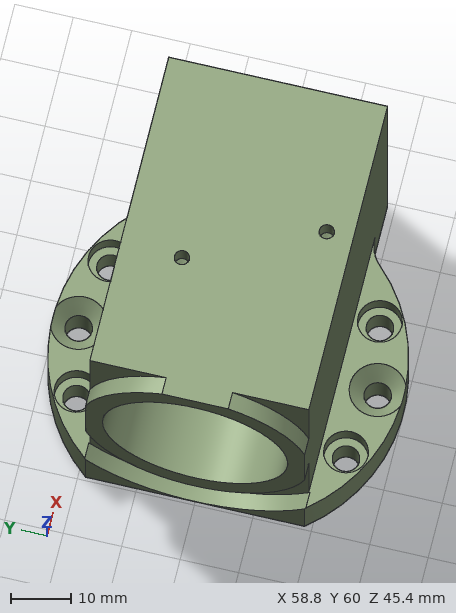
import cadquery as cq
import math

block_length = 58.8
block_width = 37.45
block_height = 45.4
half_width = block_width / 2
axis_height = block_height - half_width

bore_radius = 15.85
lip_bore_radius = 13.5
lip_thickness = 6.0

groove_inner_radius = 19.55
groove_outer_radius = 26.5
groove_depth = 3.0

flange_radius = 30.0
flange_thickness = 8.1
flange_fillet = 6.6
flange_x = math.sqrt(flange_radius**2 - half_width**2)

screw_radius = 2.3
counterbore_radius = 3.7
counterbore_depth = 3.0
counterbore_spacing_x = 24.0
counterbore_y = 23.05
countersink_radius = 4.75
countersink_angle = 90.0
countersink_y = 25.55

drill_radius = 1.25
drill_depth = 3.6
drill_tip_angle = 118.0
drill_places = [(24.5, 8.15), (34.6, -14.15)]


def make_block():
    return cq.Workplane("XY").box(
        block_length, block_width, block_height, centered=(False, True, False)
    )


def make_flange():
    center_distance = flange_radius + flange_fillet
    fillet_y = half_width + flange_fillet
    fillet_x = flange_x + math.sqrt(center_distance**2 - fillet_y**2)
    rim_share = flange_radius / center_distance
    tangent_x = flange_x + (fillet_x - flange_x) * rim_share
    tangent_y = fillet_y * rim_share
    start_angle = math.atan2(tangent_y - fillet_y, tangent_x - fillet_x)
    middle_angle = (start_angle - math.pi / 2) / 2
    middle_x = fillet_x + flange_fillet * math.cos(middle_angle)
    middle_y = fillet_y + flange_fillet * math.sin(middle_angle)
    return (
        cq.Workplane("XY")
        .moveTo(0, half_width)
        .threePointArc((flange_x, flange_radius), (tangent_x, tangent_y))
        .threePointArc((middle_x, middle_y), (fillet_x, half_width))
        .lineTo(fillet_x, -half_width)
        .threePointArc((middle_x, -middle_y), (tangent_x, -tangent_y))
        .threePointArc((flange_x, -flange_radius), (0, -half_width))
        .close()
        .extrude(flange_thickness)
    )


def entry_plane():
    return cq.Workplane("YZ").center(0, axis_height)


def cut_bore(body):
    bore = entry_plane().circle(bore_radius).extrude(block_length - lip_thickness)
    lip_bore = entry_plane().circle(lip_bore_radius).extrude(block_length)
    return body.cut(bore).cut(lip_bore)


def cut_groove(body):
    groove = (
        entry_plane()
        .circle(groove_outer_radius)
        .circle(groove_inner_radius)
        .extrude(groove_depth)
    )
    return body.cut(groove)


def cut_flange_holes(body):
    counterbore_places = [
        (flange_x + end * counterbore_spacing_x / 2, side * counterbore_y)
        for end in (-1, 1)
        for side in (-1, 1)
    ]
    countersink_places = [(flange_x, side * countersink_y) for side in (-1, 1)]
    flange_top = cq.Workplane("XY").workplane(offset=flange_thickness)

    screw_holes = (
        cq.Workplane("XY")
        .pushPoints(counterbore_places + countersink_places)
        .circle(screw_radius)
        .extrude(flange_thickness)
    )
    counterbores = (
        flange_top.pushPoints(counterbore_places)
        .circle(counterbore_radius)
        .extrude(-counterbore_depth)
    )
    body = body.cut(screw_holes).cut(counterbores)

    half_angle = math.radians(countersink_angle / 2)
    cone_depth = (countersink_radius - screw_radius) / math.tan(half_angle)
    for x, y in countersink_places:
        cone = cq.Solid.makeCone(
            countersink_radius,
            screw_radius,
            cone_depth,
            pnt=cq.Vector(x, y, flange_thickness),
            dir=cq.Vector(0, 0, -1),
        )
        body = body.cut(cq.Workplane(cone))
    return body


def cut_roof_holes(body):
    tip_depth = drill_radius / math.tan(math.radians(drill_tip_angle / 2))
    drill = (
        cq.Workplane("XZ")
        .moveTo(0, 0)
        .lineTo(drill_radius, 0)
        .lineTo(drill_radius, -drill_depth)
        .lineTo(0, -drill_depth - tip_depth)
        .close()
        .revolve(360, (0, 0), (0, 1))
    )
    for x, y in drill_places:
        body = body.cut(drill.translate((x, y, block_height)))
    return body


result = make_block().union(make_flange())
result = cut_bore(result)
result = cut_groove(result)
result = cut_flange_holes(result)
result = cut_roof_holes(result)